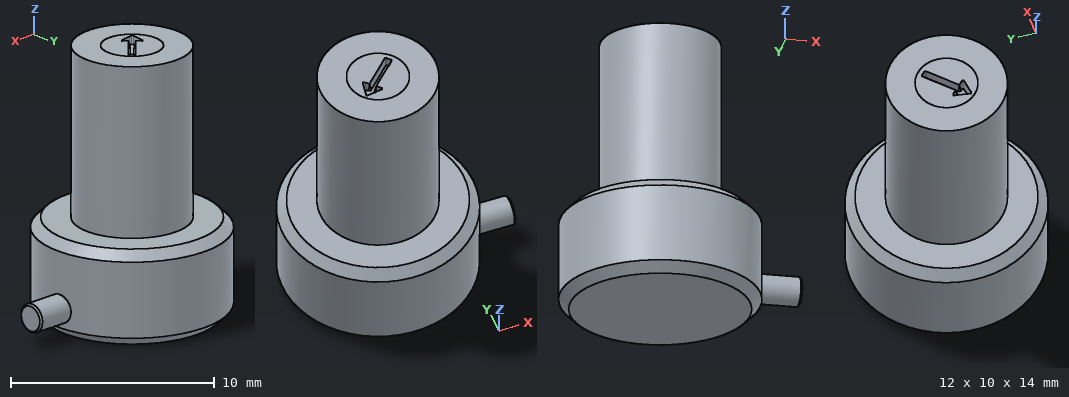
import cadquery as cq

total_height = 14.0
head_diameter = 10.0
head_height = head_diameter / 2
head_chamfer = 0.5
stem_diameter = 6.0

insert_diameter = 3.1
insert_length = stem_diameter

arrow_direction = 225.0
arrow_tip = 1.41
arrow_barb = 0.62
arrow_tail = -1.29
arrow_half_span = 0.57
arrow_shaft_half_width = 0.18
arrow_depth = 0.4
arrow_corner_radius = 0.05
arrow_wall_taper = 13.0

pin_diameter = 1.5
pin_chamfer = 0.1
pin_height = 1.5
pin_protrusion = 2.0
pin_embedded_length = pin_protrusion


def make_insert_plug():
    """Plain cylinder that fills the insert and its bore."""
    return (
        cq.Workplane("XY")
        .workplane(offset=total_height - insert_length)
        .circle(insert_diameter / 2)
        .extrude(insert_length)
    )


def make_arrow_pocket():
    """Arrow-shaped cutter with rounded outer corners and walls that taper inwards below the top face."""
    outline = [
        (arrow_tip, 0),
        (arrow_barb, arrow_half_span),
        (arrow_barb, arrow_shaft_half_width),
        (arrow_tail, arrow_shaft_half_width),
        (arrow_tail, -arrow_shaft_half_width),
        (arrow_barb, -arrow_shaft_half_width),
        (arrow_barb, -arrow_half_span),
    ]
    return (
        cq.Workplane("XY")
        .workplane(offset=total_height)
        .polyline(outline)
        .close()
        .extrude(-arrow_depth, taper=arrow_wall_taper)
        .edges("not #Z")
        .edges(">X or <X or >Y or <Y")
        .fillet(arrow_corner_radius)
        .rotate((0, 0, 0), (0, 0, 1), arrow_direction)
    )


def make_insert():
    return make_insert_plug().cut(make_arrow_pocket())


def make_pin():
    pin_length = pin_embedded_length + pin_protrusion
    pin_start = head_diameter / 2 - pin_embedded_length
    return (
        cq.Workplane("YZ", origin=(pin_start, 0, pin_height))
        .circle(pin_diameter / 2)
        .extrude(pin_length)
        .faces(">X")
        .chamfer(pin_chamfer)
    )


def make_housing(pin):
    """Head and stem, with a bore for the insert and a hole for the pin."""
    head = cq.Workplane("XY").circle(head_diameter / 2).extrude(head_height)
    head = head.faces("<Z or >Z").chamfer(head_chamfer)
    stem = cq.Workplane("XY").circle(stem_diameter / 2).extrude(total_height)
    return head.union(stem).cut(make_insert_plug()).cut(pin)


pin = make_pin()
insert = make_insert()
housing = make_housing(pin)

result = cq.Compound.makeCompound([housing.val(), insert.val(), pin.val()])